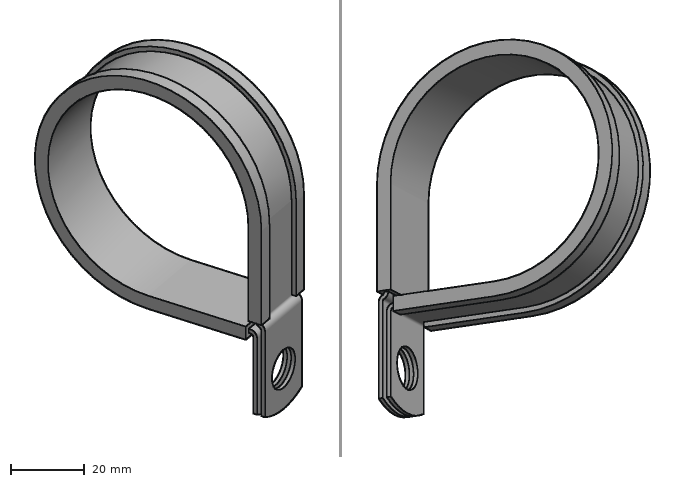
import cadquery as cq
import math

total_height = 97.9
loop_radius = 36.0
cushion_thickness = 4.2
cushion_width = 22.1
vertical_leg = 29.9
horizontal_leg = 31.0
groove_width = 13.8
groove_depth = 1.5

strap_thickness = 1.3
strap_width = 19.2
bend_radius = 1.5
inner_tab_x = 33.1
outer_tab_x = 35.6
strap_embed = 3.9

hole_diameter = 11.9
hole_height = 12.7
tip_rise = 2.3

tab_bottom = loop_radius - total_height
strap_outer_radius = loop_radius - groove_depth
strap_radius = strap_outer_radius - strap_thickness / 2


def loop_path(radius):
    """Horizontal leg, three-quarter loop and vertical leg at one radius."""
    diagonal = radius * math.sqrt(0.5)
    return (
        cq.Workplane("XZ")
        .moveTo(horizontal_leg, -radius)
        .lineTo(0, -radius)
        .threePointArc((-diagonal, diagonal), (radius, 0))
        .lineTo(radius, -vertical_leg)
    )


def loop_band(radius, thickness, width):
    """Flat band following the loop, with the radius at mid thickness."""
    section = cq.Workplane("YZ", origin=(horizontal_leg, 0, -radius)).rect(width, thickness)
    return section.sweep(loop_path(radius))


def tab_band(path, tab_x):
    """Strap following a path that starts at the bottom of a tab."""
    section = cq.Workplane("XY", origin=(tab_x, 0, tab_bottom)).rect(strap_thickness, strap_width)
    return section.sweep(path)


def inner_tab():
    """Tab that bends a quarter turn into the horizontal leg."""
    bend_offset = bend_radius * (1 - math.sqrt(0.5))
    path = (
        cq.Workplane("XZ")
        .moveTo(inner_tab_x, tab_bottom)
        .lineTo(inner_tab_x, -strap_radius - bend_radius)
        .threePointArc(
            (inner_tab_x - bend_offset, -strap_radius - bend_offset),
            (inner_tab_x - bend_radius, -strap_radius),
        )
        .lineTo(horizontal_leg - strap_embed, -strap_radius)
    )
    return tab_band(path, inner_tab_x)


def outer_tab():
    """Tab that jogs through an S-bend into the vertical leg."""
    jog = outer_tab_x - strap_radius
    bend_angle = math.acos(1 - jog / (2 * bend_radius))
    half_jog_height = bend_radius * math.sin(bend_angle)
    half_bend_x = bend_radius * (1 - math.cos(bend_angle / 2))
    half_bend_z = bend_radius * math.sin(bend_angle / 2)
    jog_bottom = -vertical_leg - 2 * half_jog_height
    path = (
        cq.Workplane("XZ")
        .moveTo(outer_tab_x, tab_bottom)
        .lineTo(outer_tab_x, jog_bottom)
        .threePointArc(
            (outer_tab_x - half_bend_x, jog_bottom + half_bend_z),
            (outer_tab_x - jog / 2, jog_bottom + half_jog_height),
        )
        .threePointArc(
            (strap_radius + half_bend_x, -vertical_leg - half_bend_z),
            (strap_radius, -vertical_leg),
        )
        .lineTo(strap_radius, -vertical_leg + strap_embed)
    )
    return tab_band(path, outer_tab_x)


def tab_outline():
    """Block along X with the side outline of the tabs: rounded tip and bolt hole."""
    half_width = strap_width / 2
    shoulder = tab_bottom + tip_rise
    block = (
        cq.Workplane("YZ")
        .moveTo(-half_width, 0)
        .lineTo(-half_width, shoulder)
        .threePointArc((0, tab_bottom), (half_width, shoulder))
        .lineTo(half_width, 0)
        .close()
        .extrude(total_height)
    )
    hole = (
        cq.Workplane("YZ")
        .center(0, tab_bottom + hole_height)
        .circle(hole_diameter / 2)
        .extrude(total_height)
    )
    return block.cut(hole)


cushion = loop_band(loop_radius - cushion_thickness / 2, cushion_thickness, cushion_width)
groove = loop_band(loop_radius - groove_depth / 2, groove_depth, groove_width)
tabs = inner_tab().union(outer_tab()).intersect(tab_outline())

result = cushion.cut(groove).union(tabs)